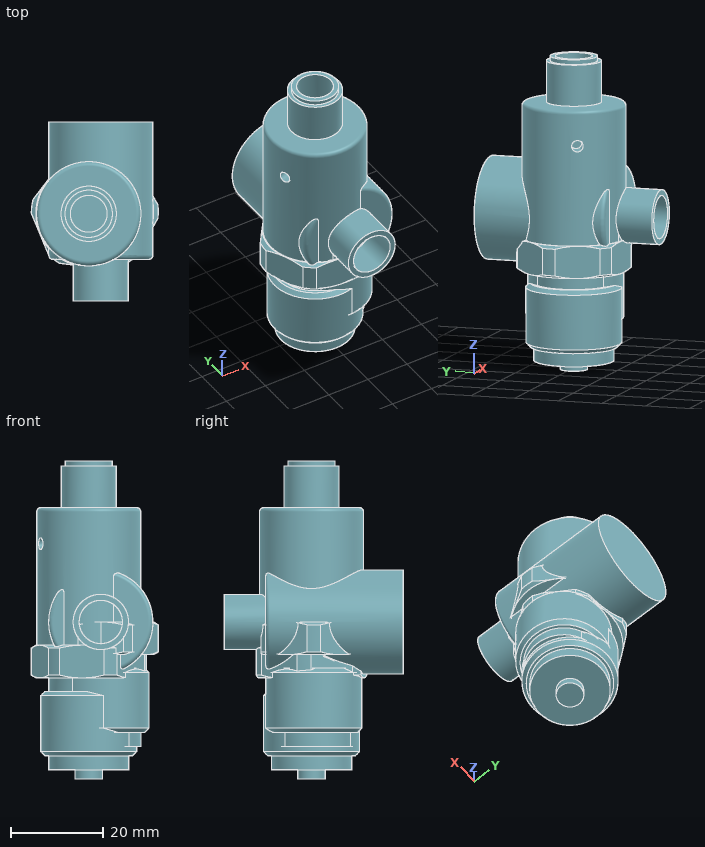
import cadquery as cq
import math

SPIGOT_DIAMETER = 17.5
SPIGOT_HEIGHT = 3.05
THREAD_DIAMETER = 20.95
THREAD_HEIGHT = 14.0
THREAD_CHAMFER = 1.0
NECK_HEIGHT = 2.9
HEX_HEIGHT = 7.1
HEX_ACROSS_FLATS = 23.0
HEX_CORNER_DIAMETER = 25.0
HEX_CHAMFER_HEIGHT = 0.6
NOZZLE_HEIGHT = SPIGOT_HEIGHT + THREAD_HEIGHT + NECK_HEIGHT + HEX_HEIGHT

BONNET_DIAMETER = 22.65
BONNET_LENGTH = 29.9
BONNET_FILLET = 1.0
PIPE_DIAMETER = 12.0
PIPE_LENGTH = 9.05
PIPE_BORE = 9.4

VENT_DIAMETER = 2.5
VENT_BELOW_TOP = 7.9
VENT_DEPTH = 4.15
VENT_ANGLE = 22.5

PIN_DIAMETER = 6.0
PIN_PROJECTION = 2.0

SLEEVE_BORE = 8.0
SLEEVE_RIM_DIAMETER = 10.3
SLEEVE_RIM_HEIGHT = 1.05

MAIN_NOZZLE_Z = PIN_PROJECTION
MAIN_HEX_TURN = -7.5
UPRIGHT_BONNET_Z = MAIN_NOZZLE_Z + NOZZLE_HEIGHT

SIDE_X = 2.6
SIDE_NOZZLE_Y = 0.5
SIDE_NOZZLE_RISE = 5.05
SIDE_NOZZLE_Z = MAIN_NOZZLE_Z + SIDE_NOZZLE_RISE
SIDE_BONNET_OPEN_Y = 20.0
SIDE_BONNET_Z = SIDE_NOZZLE_Z + NOZZLE_HEIGHT


def cylinder(diameter, height, bottom=0.0):
    """Cylinder on the Z axis that stands on the given height."""
    return cq.Workplane("XY").workplane(offset=bottom).circle(diameter / 2).extrude(height)


def make_hex(bottom):
    """Hexagon with two flats facing +Y and -Y, rounded corners and chamfered ends."""
    across_corners = HEX_ACROSS_FLATS / math.cos(math.radians(30))
    prism = cq.Workplane("XY").workplane(offset=bottom).polygon(6, across_corners).extrude(HEX_HEIGHT)
    chamfer_width = (HEX_CORNER_DIAMETER - HEX_ACROSS_FLATS) / 2
    turned_blank = cylinder(HEX_CORNER_DIAMETER, HEX_HEIGHT, bottom)
    turned_blank = turned_blank.faces(">Z").chamfer(HEX_CHAMFER_HEIGHT, chamfer_width)
    turned_blank = turned_blank.faces("<Z").chamfer(HEX_CHAMFER_HEIGHT, chamfer_width)
    return prism.intersect(turned_blank)


def make_nozzle():
    """Threaded nozzle with a spigot below the thread and a neck and hexagon above it."""
    thread_top = SPIGOT_HEIGHT + THREAD_HEIGHT
    thread = cylinder(THREAD_DIAMETER, THREAD_HEIGHT, SPIGOT_HEIGHT)
    thread = thread.faces("<Z or >Z").chamfer(THREAD_CHAMFER)
    core = cylinder(SPIGOT_DIAMETER, thread_top + NECK_HEIGHT)
    return core.union(thread).union(make_hex(thread_top + NECK_HEIGHT))


def make_barrel():
    """Round barrel of a bonnet, filleted at its closed end."""
    return cylinder(BONNET_DIAMETER, BONNET_LENGTH).faces(">Z").edges().fillet(BONNET_FILLET)


def make_bonnet():
    """Barrel that carries a bored pipe on its filleted end."""
    pipe = cylinder(PIPE_DIAMETER, PIPE_LENGTH, BONNET_LENGTH)
    bore = cylinder(PIPE_BORE, PIPE_LENGTH, BONNET_LENGTH)
    return make_barrel().union(pipe).cut(bore)


def lay_in_side_valve(shape):
    """Turn a shape from +Z to -Y and move it to the axis of the side bonnet."""
    lying = shape.rotate((0, 0, 0), (1, 0, 0), 90)
    return lying.translate((SIDE_X, SIDE_BONNET_OPEN_Y, SIDE_BONNET_Z))


def make_vent():
    """Radial drill for the vent hole, on the -X side and turned towards -Y."""
    drill = cq.Workplane("YZ").workplane(offset=-BONNET_DIAMETER / 2)
    drill = drill.center(0, UPRIGHT_BONNET_Z + BONNET_LENGTH - VENT_BELOW_TOP)
    drill = drill.circle(VENT_DIAMETER / 2).extrude(VENT_DEPTH)
    return drill.rotate((0, 0, 0), (0, 0, 1), VENT_ANGLE)


def make_sleeve():
    """Sleeve that fills the pipe bore, with a rim resting on the end of the pipe."""
    sleeve = cylinder(PIPE_BORE, PIPE_LENGTH).union(
        cylinder(SLEEVE_RIM_DIAMETER, SLEEVE_RIM_HEIGHT, PIPE_LENGTH)
    )
    return sleeve.cut(cylinder(SLEEVE_BORE, PIPE_LENGTH + SLEEVE_RIM_HEIGHT))


side_nozzle = make_nozzle().translate((SIDE_X, SIDE_NOZZLE_Y, SIDE_NOZZLE_Z))
main_nozzle = make_nozzle().rotate((0, 0, 0), (0, 0, 1), MAIN_HEX_TURN).translate((0, 0, MAIN_NOZZLE_Z))
upright_bonnet = make_bonnet().translate((0, 0, UPRIGHT_BONNET_Z)).cut(make_vent())
side_bonnet = lay_in_side_valve(make_bonnet())
pin = cylinder(PIN_DIAMETER, PIN_PROJECTION + SPIGOT_HEIGHT)
sleeve = make_sleeve().translate((0, 0, UPRIGHT_BONNET_Z + BONNET_LENGTH))

side_barrel = lay_in_side_valve(make_barrel())
main_nozzle = main_nozzle.cut(pin).cut(side_nozzle).cut(side_bonnet)
upright_bonnet = upright_bonnet.cut(side_nozzle).cut(side_barrel)
side_bonnet = side_bonnet.cut(side_nozzle).cut(upright_bonnet)

bodies = [main_nozzle, upright_bonnet, pin, sleeve, side_nozzle, side_bonnet]
result = cq.Compound.makeCompound([body.val() for body in bodies])